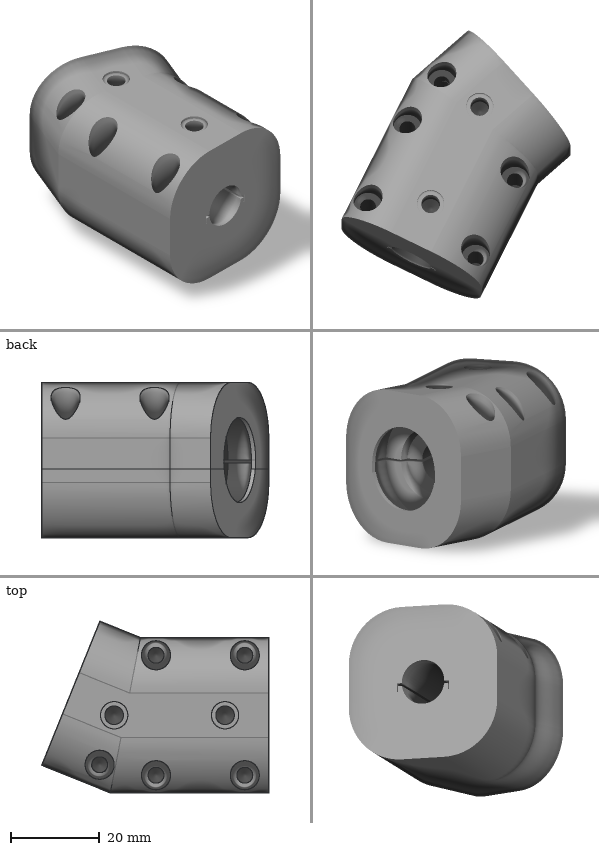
import cadquery as cq
import math

overall_length = 51.15
bend_angle = 22.0
bend = math.radians(bend_angle)
bar_size = 35.0
short_length = 13.25
main_length = overall_length - short_length * math.cos(bend) - bar_size / 2 * math.sin(bend)
corner_radius = 12.5

lip_radius = 9.55
lip_depth = 1.0
socket_radius = 12.5
socket_depth = 7.9
neck_radius = 7.95
cable_radius = 5.0

split_z = -2.0
pocket_top_z = 0.0
tongue_top_z = -0.6
rim = 1.05
side_clearance = 0.2
wide_half_width = socket_radius + rim
narrow_half_width = cable_radius + rim
taper_angle = 35.5

screw_y = 13.5
screw_main_x = [6.9, 26.9]
short_screw_x = -5.8
short_screw_y = -11.15
screw_radius = 1.8
screw_head_radius = 3.25
screw_seat_z = 4.0
screw_bottom_z = -9.0

insert_x = [-2.5, 22.45]
insert_radius = 2.1
insert_rim_radius = 3.05
insert_rim_depth = 0.5
insert_depth = 5.0

drill_tip_angle = 118.0
overrun = 10.25


def tilt(shape):
    """Swing a shape built along -X onto the axis of the short arm."""
    return shape.rotate((0, 0, 0), (0, 0, 1), -bend_angle)


def rod(radius, x_start, x_end):
    """Cylinder on the X axis."""
    return cq.Workplane("YZ").workplane(offset=x_start).circle(radius).extrude(x_end - x_start)


def slab(half_width, x_start, x_end, z_bottom, z_top):
    """Box centred on the X axis in Y."""
    size = (x_end - x_start, 2 * half_width, z_top - z_bottom)
    corner = (x_start, -half_width, z_bottom)
    return cq.Workplane("XY").box(*size, centered=False).translate(corner)


def before_bend(shape):
    """Keep the part of a shape on the -X side of the bend point."""
    reach = 2 * bar_size
    return shape.intersect(slab(reach, -reach, 0, -reach, reach))


def drilled_hole(radius, z_top, z_bottom):
    """Round hole on the Z axis, from z_top down to z_bottom, with a drill point below."""
    tip_length = radius / math.tan(math.radians(drill_tip_angle / 2))
    profile = [(0, z_top), (radius, z_top), (radius, z_bottom), (0, z_bottom - tip_length)]
    return cq.Workplane("XZ").polyline(profile).close().revolve(360, (0, 0), (0, 1))


def bent_bar():
    """Outer form of both halves together, mitred at the bend."""
    short_end = (-short_length * math.cos(bend), short_length * math.sin(bend))
    path = cq.Workplane("XY").polyline([(main_length, 0), (0, 0), short_end])
    section = cq.Sketch().rect(bar_size, bar_size).vertices().fillet(corner_radius)
    start = cq.Workplane("YZ").workplane(offset=main_length)
    return start.placeSketch(section).sweep(path, transition="right")


def bore():
    """Lip, socket and neck of the short arm, and the small bore along the main arm."""
    lip = rod(lip_radius, -short_length - overrun, -short_length + socket_depth)
    socket = rod(socket_radius, -short_length + lip_depth, -short_length + socket_depth)
    neck = rod(neck_radius, -short_length + lip_depth, overrun)
    cable = rod(cable_radius, -overrun / 2, main_length + overrun)
    return tilt(lip.union(socket)).union(before_bend(tilt(neck))).union(cable)


def joint_block(z_top, clearance):
    """Block from the split up to z_top: wide in the short arm, tapering to a narrow strip in the main arm."""
    wide = wide_half_width - clearance
    narrow = narrow_half_width - clearance
    wide_start = -short_length + lip_depth + clearance
    short_part = before_bend(tilt(slab(wide, wide_start, overrun, split_z, z_top)))

    wide_at_bend = wide / math.cos(bend)
    taper_end = (wide_at_bend - narrow) / math.tan(math.radians(taper_angle))
    outline = [
        (0, wide_at_bend),
        (taper_end, narrow),
        (main_length, narrow),
        (main_length, -narrow),
        (taper_end, -narrow),
        (0, -wide_at_bend),
    ]
    base = cq.Workplane("XY").workplane(offset=split_z)
    main_part = base.polyline(outline).close().extrude(z_top - split_z)
    return short_part.union(main_part)


def screw_holes():
    """Counterbored holes from the top that end blind in the lower half."""
    hole = drilled_hole(screw_radius, bar_size / 2, screw_bottom_z)
    head = cq.Workplane("XY").workplane(offset=screw_seat_z).circle(screw_head_radius).extrude(bar_size / 2)
    screw = hole.union(head)
    places = [(x, y) for x in screw_main_x for y in (-screw_y, screw_y)]
    places.append((short_screw_x, short_screw_y))
    holes = cq.Workplane("XY")
    for x, y in places:
        holes = holes.add(screw.translate((x, y, 0)))
    return holes.combine()


def insert_holes():
    """Blind holes with a shallow recess around each mouth."""
    top_z = bar_size / 2
    hole = drilled_hole(insert_radius, top_z, top_z - insert_depth)
    recess = cq.Workplane("XY").workplane(offset=top_z - insert_rim_depth).circle(insert_rim_radius)
    insert = hole.union(recess.extrude(insert_rim_depth))
    holes = cq.Workplane("XY")
    for x in insert_x:
        holes = holes.add(insert.translate((x, 0, 0)))
    return holes.combine()


def lip_slot():
    """Straight-sided opening that carries the upper half of the lip down to the split."""
    slot_end = -short_length + lip_depth
    return tilt(slab(lip_radius, -short_length - overrun, slot_end, split_z, pocket_top_z))


def upper_half(bar, above_split):
    shell = bar.intersect(above_split).cut(joint_block(pocket_top_z, 0)).cut(lip_slot())
    return shell.cut(bore()).cut(screw_holes()).cut(insert_holes())


def lower_half(bar, above_split):
    shell = bar.cut(above_split).union(joint_block(tongue_top_z, side_clearance))
    return shell.cut(bore()).cut(screw_holes())


full_bar = bent_bar()
upper_space = slab(bar_size, -overall_length, overall_length, split_z, bar_size)
upper = upper_half(full_bar, upper_space)
lower = lower_half(full_bar, upper_space)

result = cq.Compound.makeCompound([upper.solids().val(), lower.solids().val()])